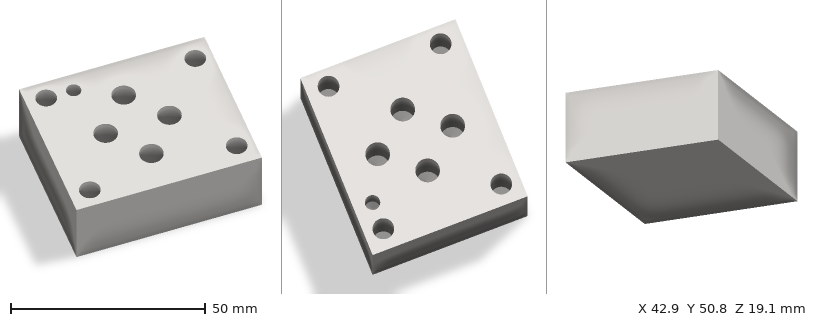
import cadquery as cq
import math

WIDTH = 42.9
LENGTH = 50.8
HEIGHT = 19.05

PORT_DIAMETER = 6.35
PORT_DEPTH = 12.7
PORT_CENTER_Y = -0.8
PORT_OFFSET_X = 10.35
PORT_OFFSET_Y = 8.75

MOUNT_DIAMETER = 5.6
MOUNT_DEPTH = 12.7
BACK_MOUNT_X = 15.5
BACK_MOUNT_Y = 20.7
FRONT_MOUNT_X = 16.3
FRONT_MOUNT_Y = -19.85

PIN_DIAMETER = 3.95
PIN_DEPTH = 6.1
PIN_Y = -12.35

POINT_ANGLE = 118.0


def cone_height(diameter):
    """Height of a drill-point cone with the given base diameter."""
    return diameter / 2 / math.tan(math.radians(POINT_ANGLE / 2))


def flat_hole(x, y, diameter, depth):
    """Cutter for a flat-bottomed hole in the top face."""
    return cq.Workplane("XY", origin=(x, y, HEIGHT - depth)).circle(diameter / 2).extrude(depth)


def cone(x, y, base_z, diameter, direction):
    """Drill-point cone standing on base_z and pointing up (1) or down (-1)."""
    solid = cq.Solid.makeCone(
        diameter / 2, 0, cone_height(diameter), cq.Vector(x, y, base_z), cq.Vector(0, 0, direction)
    )
    return cq.Workplane(obj=solid)


port_positions = [
    (-PORT_OFFSET_X, PORT_CENTER_Y),
    (PORT_OFFSET_X, PORT_CENTER_Y),
    (0, PORT_CENTER_Y - PORT_OFFSET_Y),
    (0, PORT_CENTER_Y + PORT_OFFSET_Y),
]
mount_positions = [
    (-BACK_MOUNT_X, BACK_MOUNT_Y),
    (BACK_MOUNT_X, BACK_MOUNT_Y),
    (-FRONT_MOUNT_X, FRONT_MOUNT_Y),
    (FRONT_MOUNT_X, FRONT_MOUNT_Y),
]

result = cq.Workplane("XY").box(WIDTH, LENGTH, HEIGHT, centered=(True, True, False))

for x, y in port_positions:
    port_bore = flat_hole(x, y, PORT_DIAMETER, PORT_DEPTH)
    floor_cone = cone(x, y, HEIGHT - PORT_DEPTH, PORT_DIAMETER, 1)
    result = result.cut(port_bore.cut(floor_cone))

for x, y in mount_positions:
    result = result.cut(flat_hole(x, y, MOUNT_DIAMETER, MOUNT_DEPTH))

result = result.cut(flat_hole(-FRONT_MOUNT_X, PIN_Y, PIN_DIAMETER, PIN_DEPTH))
result = result.cut(cone(-FRONT_MOUNT_X, PIN_Y, HEIGHT - PIN_DEPTH, PIN_DIAMETER, -1))